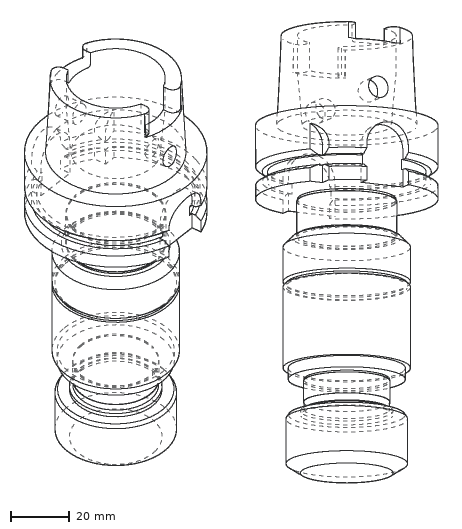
import cadquery as cq
import math

overall_length = 154.4
flange_top = 122.7
flange_bottom = 96.7
nut_top = 20.5
nut_bottom_chamfer = 3.2

taper_base_radius = 24.2
taper_tip_radius = 22.7
bore_radius = 34.1 / 2
bore_floor_radius = 30.9 / 2
bore_shoulder = 141.7
cross_hole_diameter = 7.5
cross_hole_height = 131.7

flange_radius = 63.0 / 2
groove_radius = 27.3
groove_lip_radius = 29.2
groove_chamfer_top = 108.1
groove_top = 106.4
groove_bottom = 102.8
groove_chamfer_bottom = 101.5

key_half_width = 6.25
key_corner_radius = 2.6
key_floor_fillet = 1.1
left_key_floor = 148.4
right_key_floor = 144.5

flat_top = 117.8
left_flat_width = 16.2
right_flat_width = 18.0
flat_depth_position = 26.2
notch_floor_position = 19.8
notch_wall_position = 19.8

neck_diameter = 34.6
neck_relief_diameter = 34.1
body_diameter = 44.0
body_groove_diameter = 42.0
body_chamfer = 3.2
collar_diameter = 40.5
spindle_diameter = 30.0
spindle_relief_diameter = 29.6
nut_collar_diameter = 32.0
nut_diameter = 42.0
nut_top_diameter = 40.1
nut_face_diameter = 32.0

neck_upper_relief = 95.9
neck_lower_relief = 83.8
body_top = 83.0
body_groove_chamfer = 67.5
body_groove_top = 66.7
body_groove_bottom = 65.8
body_bottom = 37.0
collar_bottom = 33.0
spindle_top = 32.5
spindle_bottom = 25.0
nut_collar_cone = 22.5
nut_collar_top = 22.0
nut_top_chamfer = 19.1


def turned_body():
    """Revolve the outer profile, listed from the nut face up to the shank tip."""
    profile = [
        (0, 0),
        (nut_face_diameter / 2, 0),
        (nut_diameter / 2, nut_bottom_chamfer),
        (nut_diameter / 2, nut_top_chamfer),
        (nut_top_diameter / 2, nut_top),
        (nut_collar_diameter / 2, nut_top),
        (nut_collar_diameter / 2, nut_collar_top),
        (spindle_relief_diameter / 2, nut_collar_cone),
        (spindle_relief_diameter / 2, spindle_bottom),
        (spindle_diameter / 2, spindle_bottom),
        (spindle_diameter / 2, spindle_top),
        (spindle_relief_diameter / 2, spindle_top),
        (spindle_relief_diameter / 2, collar_bottom),
        (collar_diameter / 2, collar_bottom),
        (collar_diameter / 2, body_bottom),
        (body_diameter / 2, body_bottom),
        (body_diameter / 2, body_groove_bottom),
        (body_groove_diameter / 2, body_groove_bottom),
        (body_groove_diameter / 2, body_groove_top),
        (body_diameter / 2, body_groove_chamfer),
        (body_diameter / 2, body_top - body_chamfer),
        (body_diameter / 2 - body_chamfer, body_top),
        (neck_relief_diameter / 2, body_top),
        (neck_relief_diameter / 2, neck_lower_relief),
        (neck_diameter / 2, neck_lower_relief),
        (neck_diameter / 2, neck_upper_relief),
        (neck_relief_diameter / 2, neck_upper_relief),
        (neck_relief_diameter / 2, flange_bottom),
        (flange_radius, flange_bottom),
        (flange_radius, groove_chamfer_bottom),
        (groove_lip_radius, groove_bottom),
        (groove_radius, groove_bottom),
        (groove_radius, groove_top),
        (groove_lip_radius, groove_top),
        (flange_radius, groove_chamfer_top),
        (flange_radius, flange_top),
        (taper_base_radius, flange_top),
        (taper_tip_radius, overall_length),
        (0, overall_length),
    ]
    return cq.Workplane("XZ").polyline(profile).close().revolve(360, (0, 0), (0, 1))


def shank_bore():
    """Blind bore that narrows below its shoulder down to a floor level with the flange top."""
    profile = [
        (0, flange_top),
        (bore_floor_radius, flange_top),
        (bore_radius, bore_shoulder),
        (bore_radius, overall_length),
        (0, overall_length),
    ]
    return cq.Workplane("XZ").polyline(profile).close().revolve(360, (0, 0), (0, 1))


def cross_hole():
    """Round hole along X through both walls of the shank."""
    return (
        cq.Workplane("YZ")
        .center(0, cross_hole_height)
        .circle(cross_hole_diameter / 2)
        .extrude(taper_base_radius, both=True)
    )


def key_slot(floor, floor_fillet=0):
    """Slot on +X that flares outward to round the two corners of the shank wall."""
    corner_y = key_half_width + key_corner_radius
    corner_distance = taper_tip_radius - key_corner_radius
    corner_x = math.sqrt(corner_distance**2 - corner_y**2)
    tangent_angle = math.atan2(corner_y, corner_x)
    tangent_x = taper_tip_radius * math.cos(tangent_angle)
    tangent_y = taper_tip_radius * math.sin(tangent_angle)
    middle_angle = (tangent_angle - math.pi / 2) / 2
    middle_x = corner_x + key_corner_radius * math.cos(middle_angle)
    middle_y = corner_y + key_corner_radius * math.sin(middle_angle)
    slot = (
        cq.Workplane("XY", origin=(0, 0, floor))
        .moveTo(0, -key_half_width)
        .lineTo(corner_x, -key_half_width)
        .threePointArc((middle_x, -middle_y), (tangent_x, -tangent_y))
        .lineTo(flange_radius, -tangent_y)
        .lineTo(flange_radius, tangent_y)
        .lineTo(tangent_x, tangent_y)
        .threePointArc((middle_x, middle_y), (corner_x, key_half_width))
        .lineTo(0, key_half_width)
        .close()
        .extrude(overall_length - floor)
    )
    if floor_fillet:
        inner_limit = corner_x / 4
        wall_edges = cq.selectors.BoxSelector(
            (inner_limit, -flange_radius, floor - floor_fillet),
            (tangent_x, flange_radius, floor + floor_fillet),
        )
        slot = slot.faces("<Z").edges(wall_edges).fillet(floor_fillet)
    return slot


def flange_flat(width, center_y, floor_position):
    """Round-topped pocket cut from +X inward, open at the bottom of the flange."""
    radius = width / 2
    arc_center = flat_top - radius
    return (
        cq.Workplane("YZ", origin=(floor_position, 0, 0))
        .moveTo(center_y - radius, flange_bottom)
        .lineTo(center_y + radius, flange_bottom)
        .lineTo(center_y + radius, arc_center)
        .threePointArc((center_y, flat_top), (center_y - radius, arc_center))
        .close()
        .extrude(flange_radius)
    )


def on_left(cutter):
    """Turn a cutter made for the +X side round to the -X side."""
    return cutter.rotate((0, 0, 0), (0, 0, 1), 180)


result = turned_body().cut(shank_bore()).cut(cross_hole())

result = result.cut(key_slot(right_key_floor))
result = result.cut(on_left(key_slot(left_key_floor, key_floor_fillet)))

result = result.cut(flange_flat(right_flat_width, 0, flat_depth_position))
result = result.cut(on_left(flange_flat(left_flat_width, 0, flat_depth_position)))

notch_center = notch_wall_position + left_flat_width / 2
result = result.cut(on_left(flange_flat(left_flat_width, -notch_center, notch_floor_position)))